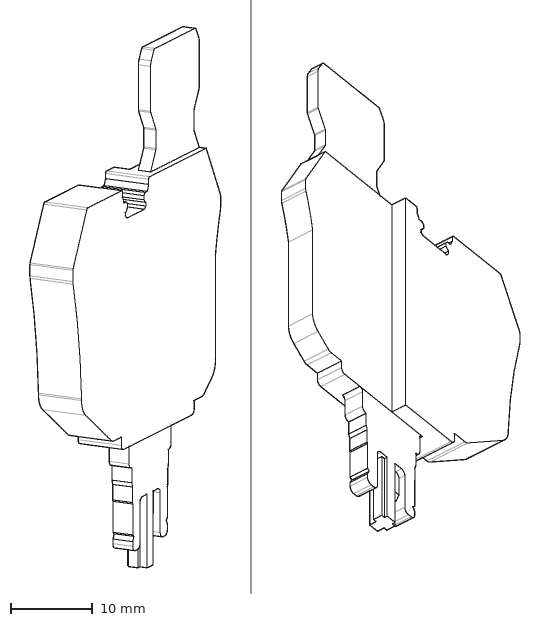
import cadquery as cq


HOUSING_THICKNESS = 5.95
HOUSING_TOP = 32.85
BACK_Y = 16.8
FRONT_Y = -22.6
SHOULDER_TOP = 26.0
SHOULDER_BOTTOM = 24.3
TOP_BACK_Y = 12.9
TOP_FRONT_Y = -18.8
BACK_WALL_Y = 15.4
BACK_WALL_TOP = 18.8
BACK_SWEEP_MIDDLE = (16.0, 21.55)
BACK_CORNER_Z = 4.2
FRONT_WALL_Y = -20.3
FRONT_SWEEP_BOTTOM = 9.1
FRONT_SWEEP_MIDDLE = (-21.0, 16.65)
FRONT_CORNER_Z = 7.5
LOWER_CORNER_RADIUS = 2.6
TOP_CORNER_RADIUS = 0.4
SHOULDER_TOP_RADIUS = 0.4
SHOULDER_BOTTOM_RADIUS = 1.3
FOOT_HALF_WIDTH = 9.7
FOOT_HEIGHT = 1.7
FOOT_RADIUS = 0.65
LEDGE_Y = 12.1
LEDGE_RADIUS = 1.0

STEP_Y = -0.1
STEP_DEPTH = 2.15

NOTCH_Y = -5.9
NOTCH_HALF_PROFILE = [
    (3.45, 0.0),
    (3.45, 0.9),
    (3.1, 1.7),
    (2.5, 1.7),
    (2.15, 2.0),
    (2.15, 2.55),
    (2.7, 3.0),
    (2.7, 3.45),
    (2.35, 3.8),
]
NOTCH_RIM_RADIUS = 0.25

TAB_X = 3.3
TAB_THICKNESS = 1.7
TAB_HEIGHT = 15.35
TAB_FRONT_Y = STEP_Y
TAB_BACK_Y = 12.85
TAB_HEAD_BOTTOM = 7.6
TAB_NECK_DEPTH = 1.45
TAB_NECK_SLOPE_HEIGHT = 2.55
TAB_CORNER_WIDTH = 1.0
TAB_CORNER_HEIGHT = 1.6
TAB_EDGE_RADIUS = 0.3
TAB_SIDE_CORNER_RADIUS = 1.3

PLUG_X = STEP_DEPTH
PLUG_THICKNESS = 2.75
COLLAR_HALF_WIDTH = 5.6
COLLAR_BOTTOM = -3.45
COLLAR_ROOT_RADIUS = 0.5
COLLAR_RADIUS = 0.65
NECK_HALF_WIDTH = 4.9
NECK_BOTTOM = -5.35
NECK_TAPER_BOTTOM = -5.95
PRONG_TOP_HALF_WIDTH = 4.7
RELIEF_TOP = -7.9
RELIEF_BOTTOM = -8.1
PRONG_HALF_WIDTH = 4.65
PRONG_BOTTOM = -14.15
PRONG_TIP_RADIUS = 0.7
SLOT_HALF_WIDTH = 2.7
SLOT_TOP = -7.8
SLOT_RADIUS = 0.65
NICK_TOP = -12.0
NICK_DEEPEST_Z = -12.3
NICK_BOTTOM = -12.85
NICK_DEPTH = 0.3

WEB_THICKNESS = 0.9
WEB_RIDGE_HEIGHT = 0.8
WEB_INNER_Y = 1.5
WEB_BOTTOM = -11.8
WEB_CORNER_CHAMFER = 0.4

PIN_BOTTOM = -17.1
PIN_RIB_WIDTH = 1.55
PIN_FLANGE_WIDTH = 2.6
PIN_FLANGE_INSET = 0.425
PIN_FLANGE_THICKNESS = 1.3


def round_x_edges(body, corners, radius):
    """Round the edges parallel to X that pass through the given (y, z) corners."""
    reach = 0.03
    far = 2 * HOUSING_THICKNESS
    edges = []
    for y, z in corners:
        around_corner = cq.selectors.BoxSelector(
            (-far, y - reach, z - reach), (far, y + reach, z + reach)
        )
        edges += body.edges("|X").edges(around_corner).vals()
    return body.newObject(edges).fillet(radius)


def mirrored(points):
    """Return the points together with their reflections in Y = 0."""
    return points + [(-y, z) for y, z in points]


def with_reflection(points):
    """Complete a half profile with its reflection in Y = 0, taken in reverse order."""
    return points + [(-y, z) for y, z in reversed(points)]


def latch_notch():
    half_outline = [(d, HOUSING_TOP - depth) for d, depth in NOTCH_HALF_PROFILE]
    outline = [(NOTCH_Y + d, z) for d, z in with_reflection(half_outline)]
    return cq.Workplane("YZ").polyline(outline).close().extrude(HOUSING_THICKNESS)


def make_housing():
    body = (
        cq.Workplane("YZ")
        .moveTo(TOP_BACK_Y, HOUSING_TOP)
        .lineTo(BACK_Y, SHOULDER_TOP)
        .lineTo(BACK_Y, SHOULDER_BOTTOM)
        .threePointArc(BACK_SWEEP_MIDDLE, (BACK_WALL_Y, BACK_WALL_TOP))
        .lineTo(BACK_WALL_Y, BACK_CORNER_Z)
        .lineTo(LEDGE_Y, FOOT_HEIGHT)
        .lineTo(FOOT_HALF_WIDTH, FOOT_HEIGHT)
        .lineTo(FOOT_HALF_WIDTH, 0)
        .lineTo(-FOOT_HALF_WIDTH, 0)
        .lineTo(-FOOT_HALF_WIDTH, FOOT_HEIGHT)
        .lineTo(-LEDGE_Y, FOOT_HEIGHT)
        .lineTo(FRONT_WALL_Y, FRONT_CORNER_Z)
        .lineTo(FRONT_WALL_Y, FRONT_SWEEP_BOTTOM)
        .threePointArc(FRONT_SWEEP_MIDDLE, (FRONT_Y, SHOULDER_BOTTOM))
        .lineTo(FRONT_Y, SHOULDER_TOP)
        .lineTo(TOP_FRONT_Y, HOUSING_TOP)
        .close()
        .extrude(HOUSING_THICKNESS)
    )
    lower_corners = [(BACK_WALL_Y, BACK_CORNER_Z), (FRONT_WALL_Y, FRONT_CORNER_Z)]
    body = round_x_edges(body, lower_corners, LOWER_CORNER_RADIUS)
    body = round_x_edges(body, [(TOP_FRONT_Y, HOUSING_TOP)], TOP_CORNER_RADIUS)
    shoulder_tops = [(y, SHOULDER_TOP) for y in (BACK_Y, FRONT_Y)]
    body = round_x_edges(body, shoulder_tops, SHOULDER_TOP_RADIUS)
    shoulder_bottoms = [(y, SHOULDER_BOTTOM) for y in (BACK_Y, FRONT_Y)]
    body = round_x_edges(body, shoulder_bottoms, SHOULDER_BOTTOM_RADIUS)
    body = round_x_edges(body, mirrored([(LEDGE_Y, FOOT_HEIGHT)]), LEDGE_RADIUS)
    body = round_x_edges(body, mirrored([(FOOT_HALF_WIDTH, 0)]), FOOT_RADIUS)

    body = body.cut(latch_notch())
    rim_distance = NOTCH_HALF_PROFILE[0][0]
    rims = [(NOTCH_Y + side * rim_distance, HOUSING_TOP) for side in (-1, 1)]
    body = round_x_edges(body, rims, NOTCH_RIM_RADIUS)

    step = cq.Workplane("XY").box(
        STEP_DEPTH, BACK_Y - STEP_Y, HOUSING_TOP, centered=False
    )
    return body.cut(step.translate((0, STEP_Y, 0)))


def make_tab():
    middle_y = (TAB_BACK_Y + TAB_FRONT_Y) / 2
    half_width = (TAB_BACK_Y - TAB_FRONT_Y) / 2
    neck = half_width - TAB_NECK_DEPTH
    side_corner = (half_width, TAB_HEIGHT - TAB_CORNER_HEIGHT)
    top_corner = (half_width - TAB_CORNER_WIDTH, TAB_HEIGHT)
    neck_corners = [
        (neck, TAB_NECK_SLOPE_HEIGHT),
        (neck, TAB_HEAD_BOTTOM - TAB_NECK_SLOPE_HEIGHT),
        (half_width, TAB_HEAD_BOTTOM),
    ]
    half_outline = [(half_width, 0)] + neck_corners + [side_corner, top_corner]
    body = (
        cq.Workplane("YZ")
        .polyline(with_reflection(half_outline))
        .close()
        .extrude(TAB_THICKNESS)
    )
    body = round_x_edges(body, mirrored(neck_corners + [top_corner]), TAB_EDGE_RADIUS)
    body = round_x_edges(body, mirrored([side_corner]), TAB_SIDE_CORNER_RADIUS)
    return body.translate((TAB_X, middle_y, HOUSING_TOP))


def collar_root():
    """Hollow fillets between the ends of the collar and the housing underside."""
    radius = COLLAR_ROOT_RADIUS
    root_half_width = COLLAR_HALF_WIDTH + radius
    slab = (
        cq.Workplane("YZ")
        .center(0, -radius / 2)
        .rect(2 * root_half_width, radius)
        .extrude(PLUG_THICKNESS)
    )
    hollows = (
        cq.Workplane("YZ")
        .pushPoints([(-root_half_width, -radius), (root_half_width, -radius)])
        .circle(radius)
        .extrude(PLUG_THICKNESS)
    )
    return slab.cut(hollows)


def prong_frame():
    """Collar, neck and two prongs, with the slot between the prongs open."""
    outer = [
        (COLLAR_HALF_WIDTH, 0),
        (COLLAR_HALF_WIDTH, COLLAR_BOTTOM),
        (NECK_HALF_WIDTH, COLLAR_BOTTOM),
        (NECK_HALF_WIDTH, NECK_BOTTOM),
        (PRONG_TOP_HALF_WIDTH, NECK_TAPER_BOTTOM),
        (PRONG_TOP_HALF_WIDTH, RELIEF_TOP),
        (PRONG_HALF_WIDTH, RELIEF_BOTTOM),
        (PRONG_HALF_WIDTH, NICK_TOP),
        (PRONG_HALF_WIDTH - NICK_DEPTH, NICK_DEEPEST_Z),
        (PRONG_HALF_WIDTH, NICK_BOTTOM),
    ]
    tips = [(PRONG_HALF_WIDTH, PRONG_BOTTOM), (SLOT_HALF_WIDTH, PRONG_BOTTOM)]
    slot_corner = [(SLOT_HALF_WIDTH, SLOT_TOP)]
    frame = (
        cq.Workplane("YZ")
        .polyline(with_reflection(outer + tips + slot_corner))
        .close()
        .extrude(PLUG_THICKNESS)
    )
    frame = round_x_edges(frame, mirrored([(COLLAR_HALF_WIDTH, COLLAR_BOTTOM)]), COLLAR_RADIUS)
    frame = round_x_edges(frame, mirrored(tips), PRONG_TIP_RADIUS)
    return round_x_edges(frame, mirrored(slot_corner), SLOT_RADIUS)


def prong_web(side):
    """Web in the middle of the plug thickness, tapering to a ridge at its lower end."""
    width = SLOT_HALF_WIDTH + SLOT_RADIUS - WEB_INNER_Y
    height = SLOT_TOP + SLOT_RADIUS - WEB_BOTTOM
    section = [
        (0, height),
        (0, WEB_RIDGE_HEIGHT),
        (WEB_THICKNESS / 2, 0),
        (WEB_THICKNESS, WEB_RIDGE_HEIGHT),
        (WEB_THICKNESS, height),
    ]
    web = (
        cq.Workplane("XZ")
        .polyline(section)
        .close()
        .extrude(-width)
    )
    trimmed_corner = (
        cq.Workplane("YZ")
        .polyline([(0, 0), (WEB_CORNER_CHAMFER, 0), (0, WEB_CORNER_CHAMFER)])
        .close()
        .extrude(WEB_THICKNESS)
    )
    web = web.cut(trimmed_corner)
    web = web.translate(((PLUG_THICKNESS - WEB_THICKNESS) / 2, WEB_INNER_Y, WEB_BOTTOM))
    return web if side > 0 else web.mirror("XZ")


def contact_pin():
    """Pin of cross-shaped section: a rib through the plug thickness and a wider flange."""
    height = SLOT_TOP - PIN_BOTTOM
    along_edge = (False, True, False)
    rib = cq.Workplane("XY").box(PLUG_THICKNESS, PIN_RIB_WIDTH, height, centered=along_edge)
    flange = cq.Workplane("XY").box(
        PIN_FLANGE_THICKNESS, PIN_FLANGE_WIDTH, height, centered=along_edge
    )
    pin = rib.union(flange.translate((PIN_FLANGE_INSET, 0, 0)))
    return pin.translate((0, 0, PIN_BOTTOM))


def make_plug():
    body = prong_frame().union(collar_root()).union(contact_pin())
    for side in (-1, 1):
        body = body.union(prong_web(side))
    return body.translate((PLUG_X, 0, 0))


housing = make_housing()
tab = make_tab()
plug = make_plug()

result = cq.Compound.makeCompound([housing.val(), tab.val(), plug.val()])